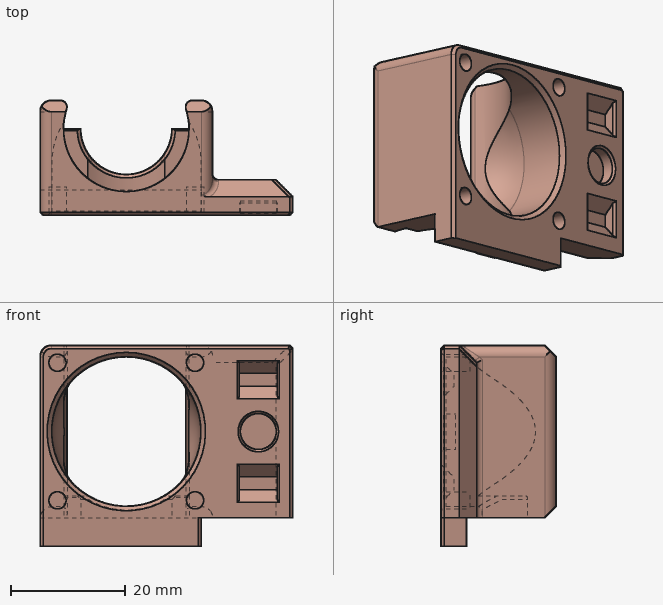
import cadquery as cq

width = 44.0
depth = 20.0
height = 35.0
body_size = 30.0
base_z = height - body_size
center_x = body_size / 2
center_z = base_z + body_size / 2

plate_depth = 6.2
plate_bevel = 3.0
tab_width = 28.05
tab_depth = 4.45
front_bevel = 0.55
body_round = 2.0
inside_fillet = 1.0

channel_radius = 10.9
channel_y = 15.05
lip_fillet = 1.2
ledge_radius = 7.9
ledge_height = 3.85
ledge_rim = 0.6
ledge_end_bevel = 0.3

bore_radius = 13.0
bore_bevel = 0.8
dome_y = 9.25

hole_diameter = 3.0
hole_spacing = 23.95
hole_depth = 5.0
recess_x = 37.95
round_recess_radius = 3.5
round_recess_depth = 2.5
recess_bevel = 0.4
pocket_width = 7.35
pocket_height = 6.6
pocket_depth = 2.2
pocket_floor = 2.2
pocket_spacing = 18.0


def box(x_size, y_size, z_size, z_start):
    """Box with its left front edge on the Z axis."""
    return cq.Workplane("XY", origin=(0, 0, z_start)).box(x_size, y_size, z_size, centered=False)


def front_circle(x, z, radius):
    """Circle facing the front, ready to extrude toward +Y."""
    plane = cq.Plane(origin=(x, 0, z), xDir=(1, 0, 0), normal=(0, 1, 0))
    return cq.Workplane(plane).circle(radius)


def front_cone(x, z, front_radius, back_radius, length):
    """Conical recess narrowing toward +Y."""
    cone = cq.Solid.makeCone(front_radius, back_radius, length, cq.Vector(x, 0, z), cq.Vector(0, 1, 0))
    return cq.Workplane(cone)


def make_body():
    """Clamp body with bevelled back ends and round outer edges."""
    blank = box(body_size, depth, body_size, base_z)
    bevelled = blank.edges("|X and >Y").chamfer(body_round)
    round_back = blank.edges("|Z and >Y").fillet(body_round)
    round_top = blank.edges("|Y and >Z").fillet(body_round)
    return bevelled.intersect(round_back).intersect(round_top)


def make_channel():
    """Vertical channel with a smaller opening through the ledge at its bottom."""
    channel = (
        cq.Workplane("XY", origin=(center_x, channel_y, base_z + ledge_height))
        .circle(channel_radius)
        .extrude(body_size)
    )
    ledge_opening = (
        cq.Workplane("XY", origin=(center_x, channel_y, base_z))
        .circle(ledge_radius)
        .extrude(ledge_height)
    )
    behind_ledge = (
        cq.Workplane("XY", origin=(center_x, channel_y, base_z))
        .circle(channel_radius)
        .extrude(ledge_height)
        .intersect(box(width, depth, height, 0).translate((0, channel_y, 0)))
    )
    return channel.union(ledge_opening).union(behind_ledge)


def make_plate():
    """Wide front plate, bevelled behind its top and right edges."""
    plate = box(width, plate_depth, body_size, base_z)
    plate = plate.edges("(>Y and >Z) or (>Y and >X)").chamfer(plate_bevel)
    far_corner = cq.selectors.BoxSelector(
        (width - plate_bevel, front_bevel, height - plate_bevel),
        (width + 0.05, plate_depth - 0.05, height + 0.05),
    )
    plate = plate.edges(far_corner).chamfer(front_bevel)
    plate = plate.edges("|Y and <X and >Z").fillet(body_round)
    front_edges = plate.faces("<Y").edges("not <Z")
    return front_edges.chamfer(front_bevel)


def make_tab():
    """Tab below the body with bevelled front corners."""
    return box(tab_width, tab_depth, base_z, 0).edges("|Z and <Y").chamfer(front_bevel)


def make_bore():
    """Round bore with a bevelled entry and a domed end that opens into the channel."""
    bore = front_circle(center_x, center_z, bore_radius).extrude(dome_y)
    dome = cq.Workplane("XY", origin=(center_x, dome_y, center_z)).sphere(bore_radius)
    dome = dome.intersect(box(width, 2 * depth, height, 0).translate((0, dome_y, 0)))
    entry = front_cone(center_x, center_z, bore_radius + bore_bevel, bore_radius, bore_bevel)
    return bore.union(dome).union(entry)


def make_pocket(z):
    """Recess with a flat floor, sloped top and bottom, and bevelled side rims."""
    slope = (pocket_height - pocket_floor) / 2
    left = recess_x - pocket_width / 2
    trapezoid = [
        (0, z - pocket_height / 2),
        (pocket_depth, z - pocket_height / 2 + slope),
        (pocket_depth, z + pocket_height / 2 - slope),
        (0, z + pocket_height / 2),
    ]
    pocket = cq.Workplane("YZ", origin=(left, 0, 0)).polyline(trapezoid).close().extrude(pocket_width)
    outer = pocket_width / 2
    inner = outer - recess_bevel
    plan = [
        (-outer, 0),
        (-inner, recess_bevel),
        (-inner, pocket_depth),
        (inner, pocket_depth),
        (inner, recess_bevel),
        (outer, 0),
    ]
    sides = cq.Workplane("XY", origin=(recess_x, 0, 0)).polyline(plan).close().extrude(height)
    return pocket.intersect(sides)


front_strip = box(body_size, front_bevel, body_size, base_z)
result = make_body().cut(front_strip).union(make_plate())
result = result.union(make_tab())

wall_corner = cq.selectors.BoxSelector(
    (body_size - body_round, plate_depth - plate_bevel + 0.05, base_z + 0.45),
    (body_size + 0.05, plate_depth + 0.05, height - 0.05),
)
result = result.edges(wall_corner).fillet(inside_fillet)

result = result.cut(make_channel()).cut(make_bore())

for x_side in (-1, 1):
    for z_side in (-1, 1):
        hole_x = center_x + x_side * hole_spacing / 2
        hole_z = center_z + z_side * hole_spacing / 2
        result = result.cut(front_circle(hole_x, hole_z, hole_diameter / 2).extrude(hole_depth))

recess_floor_radius = round_recess_radius - recess_bevel
round_recess = front_circle(recess_x, center_z, recess_floor_radius).extrude(round_recess_depth)
round_rim = front_cone(recess_x, center_z, round_recess_radius, recess_floor_radius, recess_bevel)
result = result.cut(round_recess).cut(round_rim)
for side in (-1, 1):
    result = result.cut(make_pocket(center_z + side * pocket_spacing / 2))

lips = cq.selectors.BoxSelector(
    (center_x - channel_radius, depth - 0.05, base_z),
    (center_x + channel_radius, depth + 0.05, height),
)
result = result.edges(lips).edges("|Z").fillet(lip_fillet)

ledge_top = base_z + ledge_height

opening_wall = cq.selectors.BoxSelector(
    (center_x - ledge_radius, channel_y - ledge_radius - 0.45, base_z + 0.45),
    (center_x + ledge_radius, channel_y, ledge_top - 0.45),
)
upper_rim = cq.selectors.BoxSelector(
    (center_x - ledge_radius, channel_y - ledge_radius - 0.45, base_z + ledge_height / 2),
    (center_x + ledge_radius, channel_y - 0.45, ledge_top + 0.05),
)
result = result.faces(opening_wall).faces("%CYLINDER").edges(upper_rim).chamfer(ledge_rim)

ledge_ends = cq.selectors.BoxSelector(
    (center_x - channel_radius, channel_y - 0.05, ledge_top - 0.05),
    (center_x + channel_radius, channel_y + 0.05, ledge_top + 0.05),
)
result = result.edges(ledge_ends).edges("|X").chamfer(ledge_end_bevel)